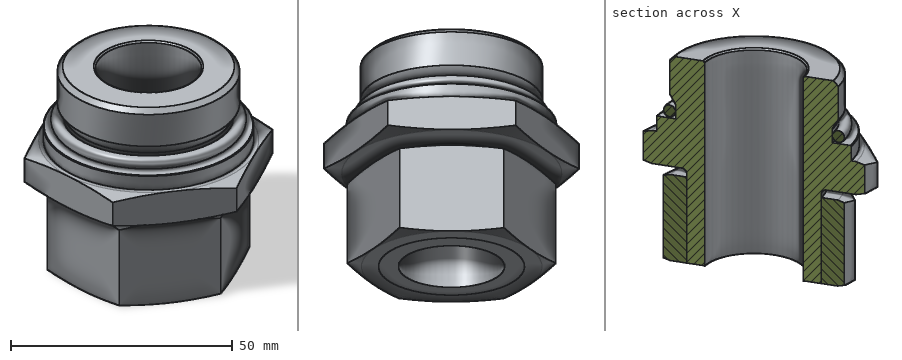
import cadquery as cq
import math

TOTAL_HEIGHT = 50.1
NUT_HEIGHT = 21.1
FLANGE_BOTTOM = 23.0
FLANGE_TOP = 31.2
COLLAR_TOP = 34.9
GROOVE_TOP = 38.25
THREAD_BOTTOM = 40.7

FLANGE_LENGTH = 57.25
HEX_SIDES = 6
HEX_TURN = 37.5
FLANGE_CORNER_DIAMETER = FLANGE_LENGTH / math.sin(math.radians(HEX_TURN + 360 / HEX_SIDES))
FLANGE_CHAMFER_DIAMETER = 49.8
NUT_CORNER_DIAMETER = 47.2
NUT_CHAMFER_DIAMETER = 40.85
HEX_CHAMFER_ANGLE = 15.0
RIM_RATIO = 1.1

BORE_DIAMETER = 24.0
BORE_CHAMFER = 0.4
NECK_DIAMETER = 33.0
NECK_FILLET = 1.1
COLLAR_DIAMETER = 47.6
COLLAR_CHAMFER = 0.2
GROOVE_DIAMETER = 38.3
THREAD_DIAMETER = 41.25
THREAD_CHAMFER = 1.2
O_RING_SECTION = 3.0


def chamfered_hexagon(corner_diameter, chamfer_diameter, bottom, top):
    """Hexagonal prism whose corners are cut by a cone at both ends."""
    prism = (
        cq.Workplane("XY", origin=(0, 0, bottom))
        .transformed(rotate=(0, 0, HEX_TURN))
        .polygon(HEX_SIDES, corner_diameter)
        .extrude(top - bottom)
    )
    corner_radius = corner_diameter / 2
    end_radius = chamfer_diameter / 2
    rim_radius = RIM_RATIO * corner_radius
    drop = (rim_radius - end_radius) * math.tan(math.radians(HEX_CHAMFER_ANGLE))
    envelope = (
        cq.Workplane("XZ")
        .moveTo(0, bottom)
        .lineTo(end_radius, bottom)
        .lineTo(rim_radius, bottom + drop)
        .lineTo(rim_radius, top - drop)
        .lineTo(end_radius, top)
        .lineTo(0, top)
        .close()
        .revolve(360, (0, 0, 0), (0, 1, 0))
    )
    return prism.intersect(envelope)


def make_round_core():
    """Turned profile of the fitting: neck, fillet, collar, groove and thread."""
    neck_radius = NECK_DIAMETER / 2
    collar_radius = COLLAR_DIAMETER / 2
    groove_radius = GROOVE_DIAMETER / 2
    thread_radius = THREAD_DIAMETER / 2
    fillet_middle = NECK_FILLET * (1 - math.sqrt(0.5))
    return (
        cq.Workplane("XZ")
        .moveTo(0, 0)
        .lineTo(neck_radius, 0)
        .lineTo(neck_radius, FLANGE_BOTTOM - NECK_FILLET)
        .threePointArc(
            (neck_radius + fillet_middle, FLANGE_BOTTOM - fillet_middle),
            (neck_radius + NECK_FILLET, FLANGE_BOTTOM),
        )
        .lineTo(neck_radius + NECK_FILLET, FLANGE_TOP)
        .lineTo(collar_radius, FLANGE_TOP)
        .lineTo(collar_radius, COLLAR_TOP - COLLAR_CHAMFER)
        .lineTo(collar_radius - COLLAR_CHAMFER, COLLAR_TOP)
        .lineTo(groove_radius, COLLAR_TOP)
        .lineTo(groove_radius, GROOVE_TOP)
        .lineTo(thread_radius, THREAD_BOTTOM)
        .lineTo(thread_radius, TOTAL_HEIGHT - THREAD_CHAMFER)
        .lineTo(thread_radius - THREAD_CHAMFER, TOTAL_HEIGHT)
        .lineTo(0, TOTAL_HEIGHT)
        .close()
        .revolve(360, (0, 0, 0), (0, 1, 0))
    )


def make_fitting_body():
    """Turned core with the hexagonal flange and the chamfered through bore."""
    flange = chamfered_hexagon(
        FLANGE_CORNER_DIAMETER, FLANGE_CHAMFER_DIAMETER, FLANGE_BOTTOM, FLANGE_TOP
    )
    bore = cq.Workplane("XY").circle(BORE_DIAMETER / 2).extrude(TOTAL_HEIGHT)
    bore_mouth = (
        cq.Workplane("XY", origin=(0, 0, TOTAL_HEIGHT))
        .circle(BORE_DIAMETER / 2 + BORE_CHAMFER)
        .extrude(-BORE_CHAMFER, taper=45)
    )
    return make_round_core().union(flange).cut(bore).cut(bore_mouth).solids()


def make_nut():
    """Hexagonal nut that fits around the neck."""
    hexagon = chamfered_hexagon(NUT_CORNER_DIAMETER, NUT_CHAMFER_DIAMETER, 0, NUT_HEIGHT)
    neck_hole = cq.Workplane("XY").circle(NECK_DIAMETER / 2).extrude(NUT_HEIGHT)
    return hexagon.cut(neck_hole).solids()


def make_o_ring():
    """Round sealing ring in the groove, halfway between collar and thread."""
    center_radius = (GROOVE_DIAMETER + O_RING_SECTION) / 2
    center_height = (COLLAR_TOP + GROOVE_TOP) / 2
    return (
        cq.Workplane("XZ")
        .center(center_radius, center_height)
        .circle(O_RING_SECTION / 2)
        .revolve(360, (-center_radius, 0, 0), (-center_radius, 1, 0))
    )


fitting_body = make_fitting_body()
nut = make_nut()
o_ring = make_o_ring()

result = cq.Compound.makeCompound([fitting_body.val(), nut.val(), o_ring.val()])